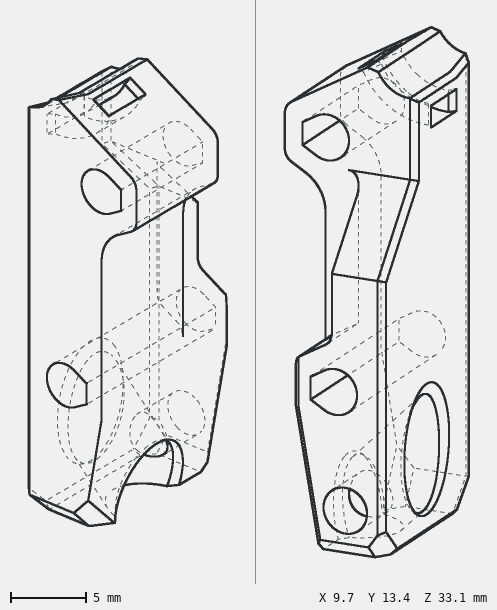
import cadquery as cq
import math

DEPTH_X = 9.7
WIDTH_Y = 13.35
HEIGHT_Z = 33.15
HEAD_WIDTH = 8.42
STEM_DEPTH = 6.7
SHOULDER_LOW = 19.8
SHOULDER_HIGH = 25.4
SIDE_CORNER = 2.02
FAR_CORNER = 1.0
EDGE_BEVEL = 0.43
BACK_CORNER_BEVEL = 1.0
FAR_CORNER_BEVEL = 1.1

HOLE_RADIUS = 3.2 / 2
HOLE_FLAT = 1.82
UPPER_HOLE = (6.55, 27.45)
LOWER_HOLE = (3.55, 11.55)
HEX_APOTHEM = DEPTH_X - UPPER_HOLE[0]
HEX_FILLET = 1.0
NECK_FILLET = 2.92
TAPER_START = 10.05
TAPER_ANGLE = math.radians(10)
ROOF_ANGLE = math.radians(30)
SLOPE = math.tan(ROOF_ANGLE)
HEX_RISE = HEX_APOTHEM / math.cos(ROOF_ANGLE)

RECESS_WALL = 3.8
RECESS_FILLET = 1.15

CHANNEL_CENTER = (0.4, 33.75)
CHANNEL_RADIUS = 2.65
CHANNEL_START = 0.45
CHANNEL_END = 2.8
CHANNEL_END_NEAR = 2.32
ROOF_LIP_SLOPE = 0.27
FRONT_LIP_SLOPE = 0.75
LIP_REACH = 2.0
CHANNEL_BEND = 2.32
CHANNEL_VEER = (-0.35, 0.55)

SLOT_INNER = 3.8
SLOT_OUTER = 5.35
SLOT_Y = (2.32, 6.13)
SLOT_FLARE = 0.4

BORE_DIAMETER = 5.8
BORE_Y = 6.8
BORE_Z = 6.05
BORE_ANGLE = 45
BORE_BEVEL = 0.5

CROSS_HOLE = (2.82, 3.3)

BIG = 2 * HEIGHT_Z
CLEARANCE = 0.33


def xz_prism(sketch, y_from, y_to):
    """Extrude an XZ wire builder from y_from to y_to."""
    return sketch.extrude(-(y_to - y_from)).translate((0, y_from, 0))


def bevel_plane(body, point, normal_a, normal_b):
    """Remove everything beyond a plane that splits two face directions evenly."""
    normal = cq.Vector(*normal_a) + cq.Vector(*normal_b)
    plane = cq.Plane(origin=point, normal=normal.toTuple())
    return body.cut(cq.Workplane(plane).rect(BIG, BIG).extrude(BIG))


def taper_x(z):
    return STEM_DEPTH - (TAPER_START - z) * math.tan(TAPER_ANGLE)


def hex_top(center, x):
    return center[1] + HEX_RISE - SLOPE * (x - center[0])


def hex_bottom(center, x):
    return center[1] - HEX_RISE + SLOPE * (x - center[0])


def plate():
    outline = [
        (SIDE_CORNER, 0),
        (WIDTH_Y - FAR_CORNER, 0),
        (WIDTH_Y, FAR_CORNER),
        (WIDTH_Y, SHOULDER_LOW),
        (HEAD_WIDTH, SHOULDER_HIGH),
        (HEAD_WIDTH, BIG),
        (0, BIG),
        (0, SIDE_CORNER),
    ]
    body = cq.Workplane("YZ").polyline(outline).close().extrude(DEPTH_X)
    return body.faces("<X").edges("not(>Z)").chamfer(EDGE_BEVEL)


def side_profile():
    outline = [
        (0, 0),
        (taper_x(0), 0),
        (STEM_DEPTH, TAPER_START),
        (STEM_DEPTH, hex_bottom(UPPER_HOLE, STEM_DEPTH)),
        (DEPTH_X, hex_bottom(UPPER_HOLE, DEPTH_X)),
        (DEPTH_X, hex_top(UPPER_HOLE, DEPTH_X)),
        (0, hex_top(UPPER_HOLE, 0)),
    ]
    profile = xz_prism(cq.Workplane("XZ").polyline(outline).close(), 0, WIDTH_Y)
    profile = profile.edges("|Y and >X").fillet(HEX_FILLET)
    neck = cq.selectors.NearestToPointSelector(
        (STEM_DEPTH, WIDTH_Y / 2, hex_bottom(UPPER_HOLE, STEM_DEPTH)))
    return profile.edges("|Y").edges(neck).fillet(NECK_FILLET)


def corner_bevels(body):
    taper_normal = (math.cos(TAPER_ANGLE), 0, -math.sin(TAPER_ANGLE))
    diagonal = math.sqrt(0.5)
    z = SIDE_CORNER + BACK_CORNER_BEVEL / diagonal
    body = bevel_plane(body, (taper_x(z), 0, z), taper_normal, (0, -diagonal, -diagonal))
    z = FAR_CORNER + FAR_CORNER_BEVEL / diagonal
    body = bevel_plane(body, (0, WIDTH_Y, z), (-1, 0, 0), (0, diagonal, -diagonal))
    edge_y = WIDTH_Y - EDGE_BEVEL
    body = bevel_plane(body, (STEM_DEPTH, edge_y, TAPER_START), (1, 0, 0), (0, 1, 0))
    return bevel_plane(body, (STEM_DEPTH, edge_y, TAPER_START), taper_normal, (0, 1, 0))


def shoulder_recess():
    """Material removed behind the shoulder, with a roof parallel to the head roof."""
    corner_z = hex_top(LOWER_HOLE, STEM_DEPTH)
    outline = [
        (RECESS_WALL, HEIGHT_Z),
        (RECESS_WALL, hex_top(LOWER_HOLE, RECESS_WALL)),
        (STEM_DEPTH, corner_z),
        (STEM_DEPTH, corner_z - HEX_FILLET),
        (DEPTH_X, corner_z - HEX_FILLET),
        (DEPTH_X, HEIGHT_Z),
    ]
    tool = xz_prism(cq.Workplane("XZ").polyline(outline).close(), HEAD_WIDTH, WIDTH_Y + CLEARANCE)
    ridge = cq.selectors.NearestToPointSelector((STEM_DEPTH, WIDTH_Y, corner_z))
    tool = tool.edges("|Y").edges(ridge).fillet(HEX_FILLET)
    foot = cq.selectors.NearestToPointSelector(
        (RECESS_WALL, WIDTH_Y, hex_top(LOWER_HOLE, RECESS_WALL)))
    tool = tool.edges("|Y").edges(foot).fillet(HEX_FILLET)
    plan = cq.Workplane("XY").box(DEPTH_X, WIDTH_Y, HEIGHT_Z, centered=False)
    plan = plan.edges("|Z and <X and <Y").fillet(RECESS_FILLET)
    return tool.intersect(plan.translate((RECESS_WALL, HEAD_WIDTH, 0)))


def teardrop(center):
    """Hole along Y with two tangent sides that converge on a flat towards +X."""
    x, z = center
    tangent_x = x + HOLE_RADIUS * math.sin(ROOF_ANGLE)
    tangent_z = HOLE_RADIUS * math.cos(ROOF_ANGLE)
    flat_z = tangent_z - SLOPE * (x + HOLE_FLAT - tangent_x)
    wire = (
        cq.Workplane("XZ")
        .moveTo(tangent_x, z + tangent_z)
        .threePointArc((x - HOLE_RADIUS, z), (tangent_x, z - tangent_z))
        .lineTo(x + HOLE_FLAT, z - flat_z)
        .lineTo(x + HOLE_FLAT, z + flat_z)
        .close()
    )
    return xz_prism(wire, -CLEARANCE, WIDTH_Y + CLEARANCE)


def channel_profile(y, center, end_x):
    """Region removed above the channel: front lip, arc, then roof lip."""
    cx, cz = center

    def arc_point(x):
        return x, cz - math.sqrt(CHANNEL_RADIUS ** 2 - (x - cx) ** 2)

    start = arc_point(CHANNEL_START)
    middle = arc_point((CHANNEL_START + end_x) / 2)
    end = arc_point(end_x)
    front_x = CHANNEL_START - LIP_REACH
    back_x = end_x + LIP_REACH
    top = HEIGHT_Z + LIP_REACH
    return (
        cq.Workplane("XZ", origin=(0, y, 0))
        .moveTo(front_x, start[1] - FRONT_LIP_SLOPE * LIP_REACH)
        .lineTo(*start)
        .threePointArc(middle, end)
        .lineTo(back_x, end[1] + ROOF_LIP_SLOPE * LIP_REACH)
        .lineTo(back_x, top)
        .lineTo(front_x, top)
        .close()
        .val()
    )


def channel():
    veer_x, veer_z = CHANNEL_VEER
    veered_center = (CHANNEL_CENTER[0] + veer_x, CHANNEL_CENTER[1] + veer_z)
    far = channel_profile(WIDTH_Y, CHANNEL_CENTER, CHANNEL_END)
    bend = channel_profile(CHANNEL_BEND, CHANNEL_CENTER, CHANNEL_END)
    near = channel_profile(0, veered_center, CHANNEL_END_NEAR)
    straight = cq.Solid.makeLoft([far, bend], True)
    veering = cq.Solid.makeLoft([bend, near], True)
    return cq.Workplane(straight).union(cq.Workplane(veering))


def flare(origin, inward):
    """Wedge that narrows along Y as it runs inward from a face."""
    y_low, y_high = SLOT_Y
    across = cq.Vector(0, 1, 0)
    plane = cq.Plane(origin=origin, xDir=across.toTuple(), normal=across.cross(inward).toTuple())
    outline = [
        (y_low, 0),
        (y_high, 0),
        (y_high - SLOT_FLARE, SLOT_FLARE),
        (y_low + SLOT_FLARE, SLOT_FLARE),
    ]
    return cq.Workplane(plane).polyline(outline).close().extrude(BIG, both=True)


def slot_ring(y_low, y_high):
    ring = cq.Workplane("XZ").center(*CHANNEL_CENTER).circle(SLOT_OUTER).circle(SLOT_INNER)
    return xz_prism(ring, y_low, y_high)


def strap_slot():
    """Ring-shaped slot whose ends flare where it leaves the front face and the roof."""
    y_low, y_high = SLOT_Y
    roof_inward = cq.Vector(-math.sin(ROOF_ANGLE), 0, -math.cos(ROOF_ANGLE))
    flares = flare((0, 0, 0), cq.Vector(1, 0, 0))
    flares = flares.union(flare((0, 0, hex_top(UPPER_HOLE, 0)), roof_inward))
    mouths = slot_ring(y_low, y_high).intersect(flares)
    return slot_ring(y_low + SLOT_FLARE, y_high - SLOT_FLARE).union(mouths)


def bore():
    tool = cq.Workplane("XY").circle(BORE_DIAMETER / 2).extrude(BIG, both=True)
    tool = tool.rotate((0, 0, 0), (0, 1, 0), 90 + BORE_ANGLE)
    return tool.translate((0, BORE_Y, BORE_Z))


def bevel_bore_rims(body):
    """Bevel the bore rims on the front face and on the leaning back wall."""
    for point in ((0, BORE_Y, BORE_Z), (taper_x(BORE_Z / 2), BORE_Y, BORE_Z / 2)):
        rim = cq.selectors.NearestToPointSelector(point)
        body = body.edges("%ELLIPSE").edges(rim).chamfer(BORE_BEVEL)
    return body


def cross_hole():
    circle = cq.Workplane("XZ").center(*CROSS_HOLE).circle(HOLE_RADIUS)
    return xz_prism(circle, BORE_Y, WIDTH_Y + CLEARANCE)


body = corner_bevels(plate().intersect(side_profile()))
body = body.cut(shoulder_recess()).cut(channel())
body = body.cut(bore())
body = bevel_bore_rims(body)
body = body.cut(cross_hole()).cut(strap_slot())
result = body.cut(teardrop(UPPER_HOLE)).cut(teardrop(LOWER_HOLE))